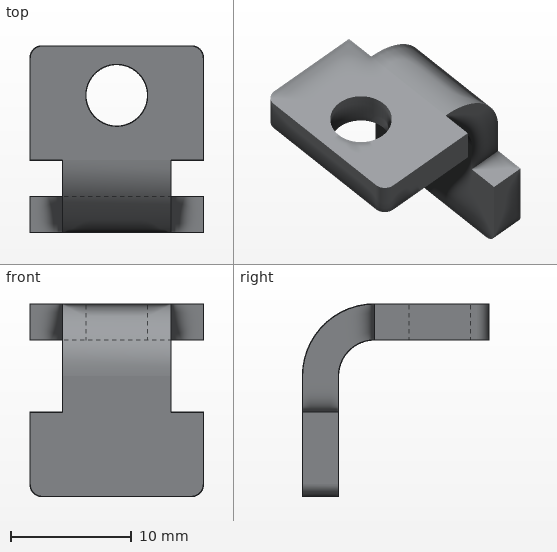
import cadquery as cq

width = 14.4
depth = 15.5
height = 16.0

thickness = 3.0
outer_bend_radius = 6.0
inner_bend_radius = outer_bend_radius - thickness
neck_width = 9.0
upright_plate_height = 7.0
corner_radius = 1.0
hole_diameter = 5.1
hole_to_back_edge = 4.11

flange_length = depth - outer_bend_radius
bend_center_z = height - outer_bend_radius


def make_neck():
    """Narrow strip rising from the upright plate and bending back to the flange."""
    neck_length = bend_center_z - upright_plate_height
    return (
        cq.Workplane("YZ")
        .moveTo(0, upright_plate_height)
        .vLine(neck_length)
        .radiusArc((outer_bend_radius, height), outer_bend_radius)
        .vLine(-thickness)
        .radiusArc((thickness, bend_center_z), -inner_bend_radius)
        .vLine(-neck_length)
        .close()
        .extrude(neck_width / 2, both=True)
    )


def make_upright_plate():
    """Wide plate at the bottom front, with rounded lower corners."""
    return (
        cq.Workplane("XY")
        .box(width, thickness, upright_plate_height, centered=(True, False, False))
        .edges("|Y and <Z")
        .fillet(corner_radius)
    )


def make_flange():
    """Wide horizontal plate at the top, with rounded back corners and a through hole."""
    return (
        cq.Workplane("XY", origin=(0, outer_bend_radius, height - thickness))
        .box(width, flange_length, thickness, centered=(True, False, False))
        .edges("|Z and >Y")
        .fillet(corner_radius)
        .faces(">Z")
        .workplane(origin=(0, depth - hole_to_back_edge, height))
        .hole(hole_diameter)
    )


result = make_neck().union(make_upright_plate()).union(make_flange())